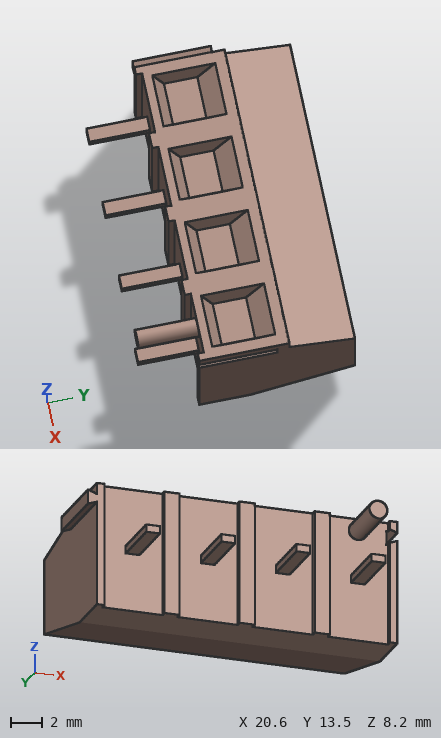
import cadquery as cq

TOTAL_LENGTH = 20.6
BODY_LENGTH = 20.0
BODY_DEPTH = 10.0
BODY_HEIGHT = 8.2

POLE_COUNT = 4
PITCH = BODY_LENGTH / POLE_COUNT

TOP_STEP_Y = 5.79
TOP_STEP_DROP = 0.7
BACK_TOP_Z = BODY_HEIGHT - 1.5
BACK_BOTTOM_Z = 1.69
BOTTOM_FLAT = 3.3

RIB_WIDTH = 1.0
RECESS_DEPTH = 0.4

MOUTH_WIDTH = 3.46
MOUTH_FRONT_Y = 0.99
MOUTH_BACK_Y = 5.03
FLOOR_WIDTH = 2.8
FLOOR_FRONT_Y = 1.67
FLOOR_BACK_Y = 3.81
POCKET_DEPTH = 1.0

DOVETAIL_DEPTH = TOTAL_LENGTH - BODY_LENGTH
DOVETAIL_LENGTH = 5.03
DOVETAIL_CENTER_Z = BODY_HEIGHT - 1.0
DOVETAIL_NECK = 0.54
DOVETAIL_WIDE = 0.95

PIN_REACH = 3.5
PIN_WIDTH = 0.9
PIN_THICKNESS = 0.5
PIN_CENTER_Z = BODY_HEIGHT / 2
PEG_DIAMETER = 1.2
PEG_CENTER_Z = BODY_HEIGHT - 0.8


def pole_center(index):
    """X position of the middle of a pole."""
    return (index + 0.5) * PITCH


def make_body():
    """Extrude the side profile along X; the ribs end at Y = 0."""
    profile = [
        (0, 0),
        (BOTTOM_FLAT, 0),
        (BODY_DEPTH, BACK_BOTTOM_Z),
        (BODY_DEPTH, BACK_TOP_Z),
        (TOP_STEP_Y, BODY_HEIGHT - TOP_STEP_DROP),
        (TOP_STEP_Y, BODY_HEIGHT),
        (0, BODY_HEIGHT),
    ]
    return cq.Workplane("YZ").polyline(profile).close().extrude(BODY_LENGTH)


def make_recess(x_center):
    """Shallow full-height recess in the front face of one pole."""
    return (
        cq.Workplane("XY")
        .center(x_center, RECESS_DEPTH / 2)
        .rect(PITCH - RIB_WIDTH, RECESS_DEPTH)
        .extrude(BODY_HEIGHT)
    )


def make_pocket(x_center):
    """Pocket that narrows from its mouth in the top face to its floor."""
    mouth_y = (MOUTH_FRONT_Y + MOUTH_BACK_Y) / 2
    floor_y = (FLOOR_FRONT_Y + FLOOR_BACK_Y) / 2
    return (
        cq.Workplane("XY", origin=(x_center, mouth_y, BODY_HEIGHT))
        .rect(MOUTH_WIDTH, MOUTH_BACK_Y - MOUTH_FRONT_Y)
        .workplane(offset=-POCKET_DEPTH)
        .center(0, floor_y - mouth_y)
        .rect(FLOOR_WIDTH, FLOOR_BACK_Y - FLOOR_FRONT_Y)
        .loft(ruled=True)
    )


def make_dovetail(neck_x):
    """Dovetail bar along Y, narrow at neck_x and widening toward -X."""
    wide_x = neck_x - DOVETAIL_DEPTH
    section = [
        (neck_x, DOVETAIL_CENTER_Z - DOVETAIL_NECK / 2),
        (neck_x, DOVETAIL_CENTER_Z + DOVETAIL_NECK / 2),
        (wide_x, DOVETAIL_CENTER_Z + DOVETAIL_WIDE / 2),
        (wide_x, DOVETAIL_CENTER_Z - DOVETAIL_WIDE / 2),
    ]
    return cq.Workplane("XZ").polyline(section).close().extrude(-DOVETAIL_LENGTH)


def pin_plane(x_center, z_center):
    """Plane on the floor of a front recess, facing -Y."""
    return cq.Workplane("XZ", origin=(x_center, RECESS_DEPTH, z_center))


def make_flat_pin(x_center):
    """Flat solder pin of one pole."""
    plane = pin_plane(x_center, PIN_CENTER_Z)
    return plane.rect(PIN_WIDTH, PIN_THICKNESS).extrude(PIN_REACH + RECESS_DEPTH)


def make_peg():
    """Round locating peg above the flat pin of the last pole."""
    peg_x = pole_center(POLE_COUNT - 1)
    return pin_plane(peg_x, PEG_CENTER_Z).circle(PEG_DIAMETER / 2).extrude(PIN_REACH + RECESS_DEPTH)


result = make_body()
for pole in range(POLE_COUNT):
    x = pole_center(pole)
    result = result.cut(make_recess(x)).cut(make_pocket(x)).union(make_flat_pin(x))
result = result.union(make_peg())
result = result.union(make_dovetail(neck_x=0))
result = result.cut(make_dovetail(neck_x=BODY_LENGTH))